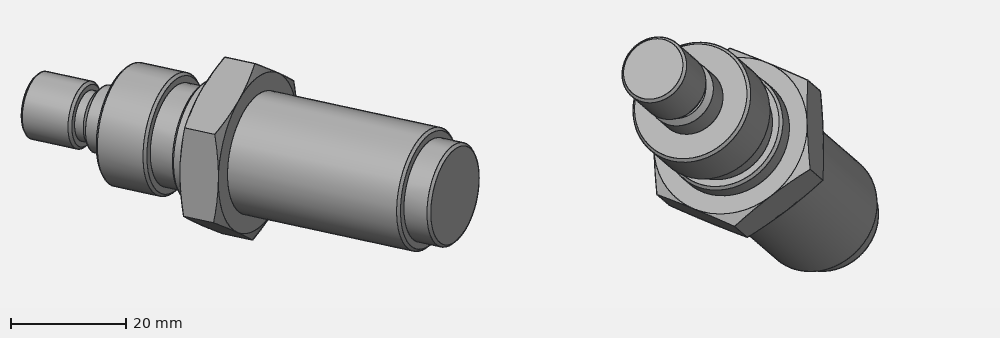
import cadquery as cq
import math

total_length = 82.6
stud_head_end = 10.0
stud_groove_end = 12.0
collar_start = 17.5
collar_end = 27.5
barrel_start = 32.55
barrel_end = 77.6
nut_start = 36.1
nut_width = 7.6

stud_radius = 6.0
stud_groove_radius = 4.55
collar_radius = 11.0
barrel_radius = collar_radius
neck_radius = 9.25

edge_chamfer = 0.5
shank_chamfer = 1.0

nut_corner_radius = 16.5
nut_flat_radius = nut_corner_radius * math.cos(math.radians(30))
nut_turn = 1.5
nut_chamfer_depth = 0.8


def cylinder(start, end, radius):
    """Solid cylinder on the X axis between two X positions."""
    return cq.Workplane("YZ", origin=(start, 0, 0)).circle(radius).extrude(end - start)


def make_stud():
    head = cylinder(0, stud_head_end, stud_radius).faces("<X or >X").chamfer(edge_chamfer)
    groove = cylinder(stud_head_end, stud_groove_end, stud_groove_radius)
    shank = cylinder(stud_groove_end, collar_start, stud_radius).faces("<X").chamfer(shank_chamfer)
    return head.union(groove).union(shank)


def make_collar():
    return cylinder(collar_start, collar_end, collar_radius).faces("<X or >X").chamfer(edge_chamfer)


def make_housing():
    neck = cylinder(collar_end, barrel_start, neck_radius)
    barrel = cylinder(barrel_start, barrel_end, barrel_radius).faces("<X or >X").chamfer(edge_chamfer)
    spigot = cylinder(barrel_end, total_length, neck_radius).faces(">X").chamfer(edge_chamfer)
    return neck.union(barrel).union(spigot)


def make_nut():
    nut_end = nut_start + nut_width
    corner_angles = [90 - nut_turn + 60 * i for i in range(6)]
    corners = [
        (nut_corner_radius * math.cos(math.radians(a)), nut_corner_radius * math.sin(math.radians(a)))
        for a in corner_angles
    ]
    prism = cq.Workplane("YZ", origin=(nut_start, 0, 0)).polyline(corners).close().extrude(nut_width)
    envelope = (
        cq.Workplane("XY")
        .moveTo(nut_start, 0)
        .lineTo(nut_start, nut_flat_radius)
        .lineTo(nut_start + nut_chamfer_depth, nut_corner_radius)
        .lineTo(nut_end - nut_chamfer_depth, nut_corner_radius)
        .lineTo(nut_end, nut_flat_radius)
        .lineTo(nut_end, 0)
        .close()
        .revolve(360, (0, 0, 0), (1, 0, 0))
    )
    return prism.intersect(envelope).cut(cylinder(nut_start, nut_end, barrel_radius))


stud = make_stud()
collar = make_collar()
housing = make_housing()
nut = make_nut()

result = cq.Compound.makeCompound([stud.val(), collar.val(), housing.val(), nut.val()])